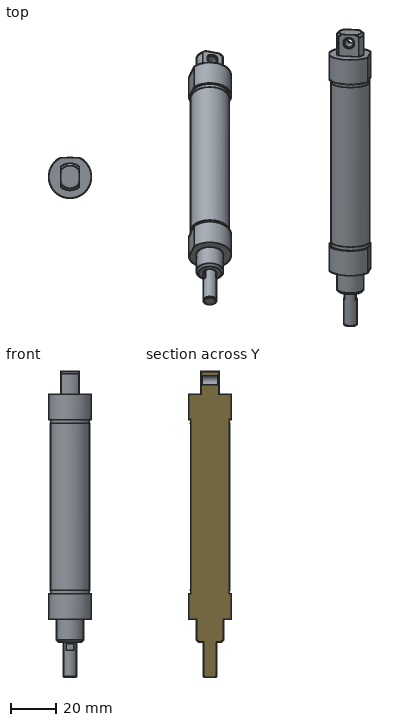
import cadquery as cq

total_length = 135.0
rod_length = 15.5
nose_length = 10.0
cap_length = 11.3
neck_length = 1.6
lug_length = 10.0

rod_diameter = 6.0
nose_diameter = 12.0
cap_diameter = 18.9
neck_diameter = 17.1
tube_diameter = 17.3

rod_chamfer = 0.47
nose_chamfer = 1.0
cap_flat_offset = 8.5
wrench_flat_width = 4.9
wrench_flat_length = 3.0
wrench_flat_gap = 0.7
lug_thickness = 8.0
lug_chamfer = 1.0
pin_hole_diameter = 4.0
pin_countersink_diameter = 5.0
pin_hole_to_top = 3.9

nose_bottom = rod_length
front_cap_bottom = nose_bottom + nose_length
front_cap_top = front_cap_bottom + cap_length
rear_cap_top = total_length - lug_length
rear_cap_bottom = rear_cap_top - cap_length
pin_hole_height = total_length - pin_hole_to_top


def cylinder(diameter, bottom, top):
    """Cylinder on the Z axis between two heights."""
    return cq.Workplane("XY").workplane(offset=bottom).circle(diameter / 2).extrude(top - bottom)


def make_rod():
    """Piston rod with a chamfered tip and two wrench flats facing -Y and +Y."""
    rod = cylinder(rod_diameter, 0, nose_bottom).faces("<Z").chamfer(rod_chamfer)
    flat_center = nose_bottom - wrench_flat_gap - wrench_flat_length / 2
    flat_depth = (rod_diameter - wrench_flat_width) / 2
    for side in (-1, 1):
        flat_y = side * (wrench_flat_width + flat_depth) / 2
        cutter = cq.Workplane("XY").box(rod_diameter, flat_depth, wrench_flat_length)
        rod = rod.cut(cutter.translate((0, flat_y, flat_center)))
    return rod


def make_cap(bottom):
    """End cap with one flat on its +Y side."""
    cap = cylinder(cap_diameter, bottom, bottom + cap_length)
    keep = cq.Workplane("XY").box(cap_diameter, cap_diameter, cap_length, centered=(True, True, False))
    return cap.intersect(keep.translate((0, cap_flat_offset - cap_diameter / 2, bottom)))


def make_tube():
    """Barrel with a slightly thinner neck next to each cap."""
    necks = cylinder(neck_diameter, front_cap_top, rear_cap_bottom)
    barrel = cylinder(tube_diameter, front_cap_top + neck_length, rear_cap_bottom - neck_length)
    return necks.union(barrel)


def make_lug():
    """Flat-sided mounting lug with a chamfered top and a countersunk pin hole along X."""
    lug = cylinder(nose_diameter, rear_cap_top, total_length).faces(">Z").chamfer(lug_chamfer)
    slab = cq.Workplane("XY").box(lug_thickness, nose_diameter, lug_length, centered=(True, True, False))
    lug = lug.intersect(slab.translate((0, 0, rear_cap_top)))
    half_thickness = lug_thickness / 2
    countersink_depth = (pin_countersink_diameter - pin_hole_diameter) / 2
    pin_hole = (
        cq.Workplane("XZ")
        .moveTo(-half_thickness, 0)
        .lineTo(-half_thickness, pin_countersink_diameter / 2)
        .lineTo(-half_thickness + countersink_depth, pin_hole_diameter / 2)
        .lineTo(half_thickness - countersink_depth, pin_hole_diameter / 2)
        .lineTo(half_thickness, pin_countersink_diameter / 2)
        .lineTo(half_thickness, 0)
        .close()
        .revolve(360, (0, 0, 0), (1, 0, 0))
    )
    return lug.cut(pin_hole.translate((0, 0, pin_hole_height)))


nose = cylinder(nose_diameter, nose_bottom, front_cap_bottom).faces("<Z").chamfer(nose_chamfer)

result = (
    make_tube()
    .union(make_cap(front_cap_bottom))
    .union(make_cap(rear_cap_bottom))
    .union(nose)
    .union(make_rod())
    .union(make_lug())
)